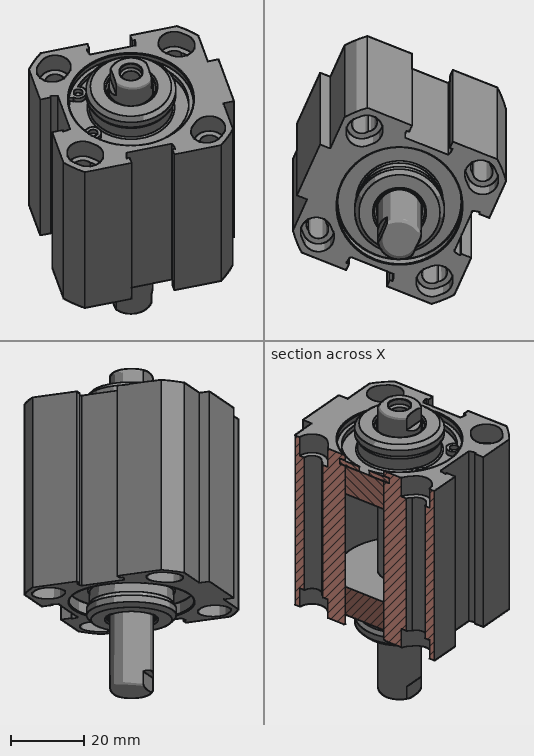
import cadquery as cq
import math

HOUSING_WIDTH = 46.0
HOUSING_DEPTH = 47.95
HOUSING_HEIGHT = 54.5
CORNER_DIAMETER = 60.0
RAIL_WIDTH = 16.2
OVERALL_DEPTH = 51.0

BORE_DIAMETER = 34.1
BORE_MOUTH_DIAMETER = 34.6
BORE_MOUTH_DEPTH = 0.3
COVER_RECESS = 3.3

SIDE_SLOT_MOUTH_WIDTH = 12.1
FRONT_SLOT_MOUTH_WIDTH = 12.6
SLOT_CHAMBER_WIDTH = 13.6
SLOT_FLOOR_WIDTH = 12.7
SLOT_CHAMBER_DEPTH = 2.0
SLOT_WALL_BULGE = 0.14
SIDE_SLOT_LIP = 2.0
FRONT_SLOT_LIP = 3.0

BOLT_X = 16.5
BOLT_Y = 17.4
BOLT_DRIFT = 1.6
BOLT_DIAMETER = 5.5
COUNTERBORE_DIAMETER = 8.6
COUNTERBORE_DEPTH = 5.95

COLLAR_DIAMETER = 24.5
COLLAR_HEIGHT = 5.0
COLLAR_CHAMFER = 1.2
COLLAR_BAND = 1.9
COLLAR_TAPER = 1.3
NECK_DIAMETER = 23.0
NECK_FOOT_CHAMFER = 0.5
FLANGE_TOP_DIAMETER = 33.7
FLANGE_THICKNESS = 9.15
ROD_MOUTH_DIAMETER = 13.7
ROD_MOUTH_CHAMFER = 0.5
ROD_MOUTH_DEPTH = 1.1
GUIDE_DIAMETER = 12.5
GUIDE_DEPTH = 3.7

RING_GROOVE_DIAMETER = 35.8
RING_INNER_DIAMETER = 31.7
RING_TOP_RECESS = 1.8
RING_THICKNESS = COVER_RECESS - RING_TOP_RECESS
RING_GAP_HALF_ANGLE = 22.9
LUG_CENTRE_RADIUS = 15.0
LUG_RADIUS = 2.2
LUG_HOLE_DIAMETER = 2.5

ROD_DIAMETER = 12.0
ROD_LENGTH = 91.5
ROD_LOWER_REACH = 26.1
ROD_END_FILLET = 1.4
FLAT_WIDTH = 10.0
FLAT_LENGTH = 4.6
THREAD_ENTRY_DIAMETER = 6.2
THREAD_ENTRY_DEPTH = 1.65
THREAD_ENTRY_CHAMFER = 0.14
THREAD_DIAMETER = 4.9
THREAD_DEPTH = 11.0
THREAD_TIP_DEPTH = 0.5

HALF_WIDTH = HOUSING_WIDTH / 2
HALF_DEPTH = HOUSING_DEPTH / 2
MID_HEIGHT = HOUSING_HEIGHT / 2


def cylinder(diameter, bottom, top):
    return cq.Workplane("XY").workplane(offset=bottom).circle(diameter / 2).extrude(top - bottom)


def revolve_profile(points):
    """Revolve (radius, z) points about the Z axis."""
    return cq.Workplane("XZ").polyline(points).close().revolve(360, (0, 0), (0, 1))


def mirrored_about_middle(body):
    return body.translate((0, 0, -MID_HEIGHT)).mirror("XY").translate((0, 0, MID_HEIGHT))


def slot_cutter(mouth_width, lip):
    """Undercut slot opening at Y = 0 and running into +Y."""
    mouth = mouth_width / 2
    chamber = SLOT_CHAMBER_WIDTH / 2
    floor = SLOT_FLOOR_WIDTH / 2
    bottom = lip + SLOT_CHAMBER_DEPTH
    wall_middle = ((chamber + floor) / 2 + SLOT_WALL_BULGE, lip + SLOT_CHAMBER_DEPTH / 2)
    return (
        cq.Workplane("XY")
        .moveTo(-mouth, 0)
        .lineTo(mouth, 0)
        .lineTo(mouth, lip)
        .lineTo(chamber, lip)
        .threePointArc(wall_middle, (floor, bottom))
        .lineTo(-floor, bottom)
        .threePointArc((-wall_middle[0], wall_middle[1]), (-chamber, lip))
        .lineTo(-mouth, lip)
        .close()
        .extrude(HOUSING_HEIGHT)
    )


def bolt_hole_cutter(side_x, side_y):
    """Through hole of two overlapping bores, with an oblong counterbore at both ends."""
    drift_angle = -45 * side_x * side_y
    half_drift = BOLT_DRIFT / 2
    cutter = cq.Workplane("XY")
    for offset in (-half_drift, half_drift):
        cutter = cutter.union(cylinder(BOLT_DIAMETER, 0, HOUSING_HEIGHT).translate((offset, 0, 0)))
    for bottom in (0, HOUSING_HEIGHT - COUNTERBORE_DEPTH):
        counterbore = (
            cq.Workplane("XY")
            .workplane(offset=bottom)
            .slot2D(COUNTERBORE_DIAMETER + BOLT_DRIFT, COUNTERBORE_DIAMETER)
            .extrude(COUNTERBORE_DEPTH)
        )
        cutter = cutter.union(counterbore)
    cutter = cutter.rotate((0, 0, 0), (0, 0, 1), drift_angle)
    return cutter.translate((side_x * BOLT_X, side_y * BOLT_Y, 0))


def bore_cutter():
    bore_radius = BORE_DIAMETER / 2
    mouth_radius = BORE_MOUTH_DIAMETER / 2
    return revolve_profile([
        (0, 0),
        (mouth_radius, 0),
        (bore_radius, BORE_MOUTH_DEPTH),
        (bore_radius, HOUSING_HEIGHT - BORE_MOUTH_DEPTH),
        (mouth_radius, HOUSING_HEIGHT),
        (0, HOUSING_HEIGHT),
    ])


def make_housing():
    body = cq.Workplane("XY").rect(HOUSING_WIDTH, HOUSING_DEPTH).extrude(HOUSING_HEIGHT)
    body = body.intersect(cylinder(CORNER_DIAMETER, 0, HOUSING_HEIGHT))
    rail_length = OVERALL_DEPTH - HALF_DEPTH
    rail = (
        cq.Workplane("XY")
        .center(0, rail_length / 2)
        .rect(RAIL_WIDTH, rail_length)
        .extrude(HOUSING_HEIGHT)
    )
    body = body.union(rail)
    front_slot = slot_cutter(FRONT_SLOT_MOUTH_WIDTH, FRONT_SLOT_LIP)
    body = body.cut(front_slot.translate((0, -HALF_DEPTH, 0)))
    for turn in (-90, 90):
        slot = slot_cutter(SIDE_SLOT_MOUTH_WIDTH, SIDE_SLOT_LIP).translate((0, -HALF_WIDTH, 0))
        body = body.cut(slot.rotate((0, 0, 0), (0, 0, 1), turn))
    for side_x in (-1, 1):
        for side_y in (-1, 1):
            body = body.cut(bolt_hole_cutter(side_x, side_y))
    body = body.cut(bore_cutter())
    ring_bottom = HOUSING_HEIGHT - COVER_RECESS
    return body.cut(cylinder(RING_GROOVE_DIAMETER, ring_bottom, ring_bottom + RING_THICKNESS))


def make_upper_cover():
    collar_radius = COLLAR_DIAMETER / 2
    neck_radius = NECK_DIAMETER / 2
    flange_radius = BORE_DIAMETER / 2
    rod_radius = ROD_DIAMETER / 2
    mouth_radius = ROD_MOUTH_DIAMETER / 2
    guide_radius = GUIDE_DIAMETER / 2
    flange_chamfer = (BORE_DIAMETER - FLANGE_TOP_DIAMETER) / 2
    top = HOUSING_HEIGHT + COLLAR_HEIGHT
    band_top = top - COLLAR_CHAMFER
    band_bottom = band_top - COLLAR_BAND
    flange_top = HOUSING_HEIGHT - COVER_RECESS
    flange_bottom = flange_top - FLANGE_THICKNESS
    return revolve_profile([
        (rod_radius, flange_bottom),
        (flange_radius, flange_bottom),
        (flange_radius, flange_top - flange_chamfer),
        (FLANGE_TOP_DIAMETER / 2, flange_top),
        (neck_radius + NECK_FOOT_CHAMFER, flange_top),
        (neck_radius, flange_top + NECK_FOOT_CHAMFER),
        (neck_radius, band_bottom - COLLAR_TAPER),
        (collar_radius, band_bottom),
        (collar_radius, band_top),
        (collar_radius - COLLAR_CHAMFER, top),
        (mouth_radius + ROD_MOUTH_CHAMFER, top),
        (mouth_radius, top - ROD_MOUTH_CHAMFER),
        (mouth_radius, top - ROD_MOUTH_DEPTH),
        (guide_radius, top - ROD_MOUTH_DEPTH),
        (guide_radius, top - GUIDE_DEPTH),
        (rod_radius, top - GUIDE_DEPTH),
    ])


def make_retaining_ring():
    bottom = HOUSING_HEIGHT - COVER_RECESS
    top = bottom + RING_THICKNESS
    ring = cylinder(RING_GROOVE_DIAMETER, bottom, top).cut(cylinder(RING_INNER_DIAMETER, bottom, top))

    gap_angle = math.radians(RING_GAP_HALF_ANGLE)
    gap_half_width = RING_GROOVE_DIAMETER * math.tan(gap_angle)
    gap = (
        cq.Workplane("XY")
        .workplane(offset=bottom)
        .polyline([
            (0, 0),
            (-gap_half_width, -RING_GROOVE_DIAMETER),
            (gap_half_width, -RING_GROOVE_DIAMETER),
        ])
        .close()
        .extrude(RING_THICKNESS)
    )
    ring = ring.cut(gap)

    lug_angle = gap_angle + math.asin(LUG_RADIUS / LUG_CENTRE_RADIUS)
    lug_y = -LUG_CENTRE_RADIUS * math.cos(lug_angle)
    for side in (-1, 1):
        centre = (side * LUG_CENTRE_RADIUS * math.sin(lug_angle), lug_y, 0)
        ring = ring.union(cylinder(2 * LUG_RADIUS, bottom, top).translate(centre))
        ring = ring.cut(cylinder(LUG_HOLE_DIAMETER, bottom, top).translate(centre))
    return ring


def flat_cutter(rod_top):
    """Material outside the +Y wrench flat at the upper rod end, with a 45 degree run-out."""
    flat = FLAT_WIDTH / 2
    rod_radius = ROD_DIAMETER / 2
    runout = rod_radius - flat
    return (
        cq.Workplane("YZ")
        .polyline([
            (flat, rod_top),
            (flat, rod_top - FLAT_LENGTH),
            (rod_radius, rod_top - FLAT_LENGTH - runout),
            (rod_radius, rod_top),
        ])
        .close()
        .extrude(rod_radius, both=True)
    )


def threaded_hole_cutter(rod_top):
    """Stepped blind hole with a 45 degree shoulder and a shallow conical end."""
    entry_radius = THREAD_ENTRY_DIAMETER / 2
    thread_radius = THREAD_DIAMETER / 2
    entry_bottom = rod_top - THREAD_ENTRY_DEPTH
    hole_bottom = rod_top - THREAD_DEPTH
    return revolve_profile([
        (0, rod_top),
        (entry_radius + THREAD_ENTRY_CHAMFER, rod_top),
        (entry_radius, rod_top - THREAD_ENTRY_CHAMFER),
        (entry_radius, entry_bottom),
        (thread_radius, entry_bottom - (entry_radius - thread_radius)),
        (thread_radius, hole_bottom),
        (0, hole_bottom - THREAD_TIP_DEPTH),
    ])


def make_rod():
    rod_bottom = -ROD_LOWER_REACH
    rod_top = rod_bottom + ROD_LENGTH
    rod = cylinder(ROD_DIAMETER, rod_bottom, rod_top).edges("%CIRCLE").fillet(ROD_END_FILLET)
    upper_flat = flat_cutter(rod_top)
    rod_middle = (0, 0, (rod_bottom + rod_top) / 2)
    for cutter in (upper_flat, upper_flat.mirror("XZ")):
        rod = rod.cut(cutter)
        rod = rod.cut(cutter.mirror("XY", rod_middle))
    return rod.cut(threaded_hole_cutter(rod_top))


housing = make_housing()
upper_cover = make_upper_cover()
lower_cover = mirrored_about_middle(upper_cover)
retaining_ring = make_retaining_ring()
rod = make_rod()

result = cq.Compound.makeCompound([
    housing.val(),
    upper_cover.val(),
    lower_cover.val(),
    retaining_ring.val(),
    rod.val(),
])